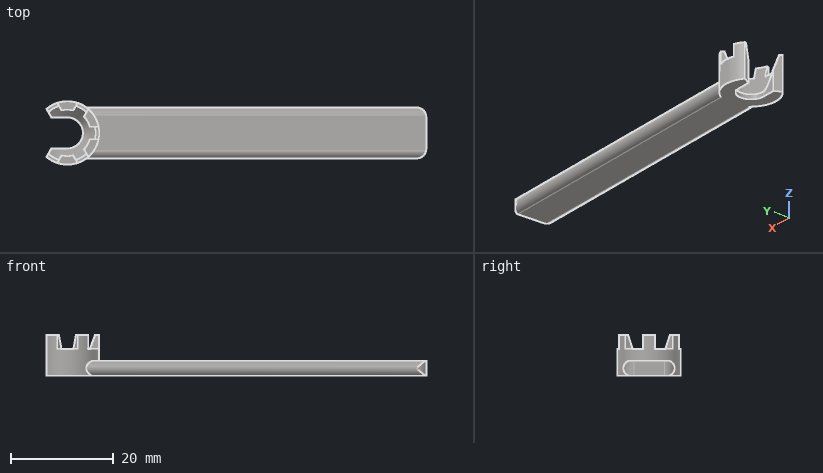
import cadquery as cq
import math

collar_radius = 6.2
collar_height = 8.0
crown_floor = 5.3
tooth_width = 2.4
tooth_spacing = 60.0
tooth_angles = [-2 * tooth_spacing, -tooth_spacing, 0.0, tooth_spacing, 2 * tooth_spacing]

throat_radius = 3.0
throat_height = 1.1
flare_top_radius = 5.5

slot_width = 2 * throat_radius
mouth_half_angle = math.radians(180.0 - max(tooth_angles))
splay_apex_x = -tooth_width / 2 / math.sin(mouth_half_angle)

handle_end_x = 70.0
handle_width = 10.0
handle_thickness = 3.0
end_corner_radius = 2.0


def make_collar():
    """Solid band with parallel-sided teeth standing up to the full height."""
    band = cq.Workplane("XY").circle(collar_radius).extrude(crown_floor)
    full_cylinder = cq.Workplane("XY").circle(collar_radius).extrude(collar_height)
    for angle in tooth_angles:
        radial_bar = (
            cq.Workplane("XY")
            .box(2 * collar_radius, tooth_width, collar_height, centered=(False, True, False))
            .rotate((0, 0, 0), (0, 0, 1), angle)
        )
        band = band.union(radial_bar.intersect(full_cylinder))
    return band


def make_handle():
    """Bar from the collar axis to the far end."""
    bar = cq.Workplane("XY").box(
        handle_end_x, handle_width, handle_thickness, centered=(False, True, False)
    )
    bar = bar.edges("|Z and >X").fillet(end_corner_radius)
    rounded_bar = (
        cq.Workplane("YZ")
        .center(0, handle_thickness / 2)
        .slot2D(handle_width, handle_thickness)
        .extrude(handle_end_x)
    )
    return bar.intersect(rounded_bar)


def make_bore():
    """Throat and flare, revolved about the collar axis."""
    return (
        cq.Workplane("XZ")
        .lineTo(throat_radius, 0)
        .lineTo(throat_radius, throat_height)
        .lineTo(flare_top_radius, collar_height)
        .lineTo(0, collar_height)
        .close()
        .revolve(360, (0, 0, 0), (0, 1, 0))
    )


def make_mouth():
    """Slot from the bore out through the -X side, with splayed jaw ends."""
    outside_x = -2 * collar_radius
    outside_y = (splay_apex_x - outside_x) * math.tan(mouth_half_angle)
    slot = (
        cq.Workplane("XY")
        .box(collar_radius, slot_width, collar_height, centered=(False, True, False))
        .translate((-collar_radius, 0, 0))
    )
    splay = (
        cq.Workplane("XY")
        .moveTo(splay_apex_x, 0)
        .lineTo(outside_x, outside_y)
        .lineTo(outside_x, -outside_y)
        .close()
        .extrude(collar_height)
    )
    return slot.union(splay)


result = make_collar().union(make_handle()).cut(make_bore()).cut(make_mouth())